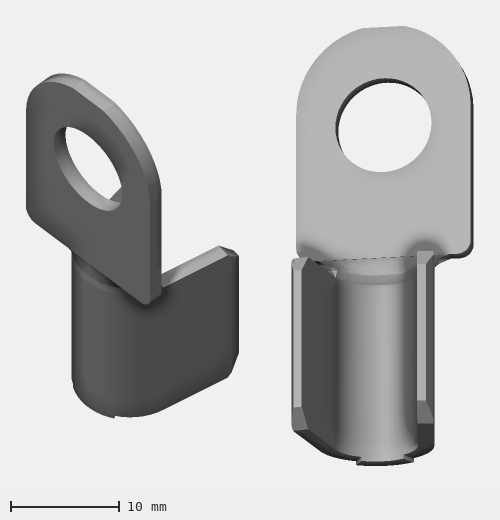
import cadquery as cq
import math


total_height = 41.55
sheet = 1.5

tongue_width = 16.3
tongue_bottom = 19.48
tongue_arc_drop = 7.9
tongue_corner_radius = 1.25
stud_hole_diameter = 8.95
stud_hole_height = 32.15

barrel_radius = 5.4
barrel_bottom = 0.37
barrel_top = 16.85
locating_tab_angle = 60.0

flare = math.radians(10)
wing_tip = 13.45
bevel_length = 1.3
tip_width = 0.85
wing_corner_cut = 1.7

neck_shoulder_height = 17.7
neck_shoulder_rise = 4.05
neck_shoulder_back = 1.85
neck_top_half_width = 6.15
neck_setback = 0.1

inner_radius = barrel_radius - sheet
barrel_height = barrel_top - barrel_bottom


def barrel_point(radius, angle):
    """Point at a radius from the barrel axis; zero angle points along +X."""
    return (radius * math.cos(angle), barrel_radius + radius * math.sin(angle))


def mirrored(point):
    return (-point[0], point[1])


def make_tongue():
    half_width = tongue_width / 2
    arc_centre = total_height - tongue_arc_drop
    arc_end_angle = math.asin(tongue_arc_drop / half_width)

    def rounded_end(angle):
        return (half_width * math.cos(angle), arc_centre + half_width * math.sin(angle))

    flat_end = rounded_end(arc_end_angle)
    arc_halfway = rounded_end(arc_end_angle / 2)
    plate = (
        cq.Workplane("XZ")
        .moveTo(-half_width, tongue_bottom)
        .lineTo(half_width, tongue_bottom)
        .lineTo(half_width, arc_centre)
        .threePointArc(arc_halfway, flat_end)
        .lineTo(*mirrored(flat_end))
        .threePointArc(mirrored(arc_halfway), (-half_width, arc_centre))
        .close()
        .extrude(-sheet)
    )
    hole = (
        cq.Workplane("XZ")
        .center(0, stud_hole_height)
        .circle(stud_hole_diameter / 2)
        .extrude(-sheet)
    )
    bottom_corners = plate.edges("|Y and <Z")
    return bottom_corners.fillet(tongue_corner_radius).cut(hole)


def make_trough():
    """Bent part of the barrel, ending where the wings start."""
    outer = barrel_point(barrel_radius, -flare)
    inner = barrel_point(inner_radius, -flare)
    return (
        cq.Workplane("XY", origin=(0, 0, barrel_bottom))
        .moveTo(*mirrored(outer))
        .threePointArc((0, 0), outer)
        .lineTo(*inner)
        .threePointArc((0, sheet), mirrored(inner))
        .close()
        .extrude(barrel_height)
    )


def make_wing():
    """Right wing, drawn upright beside the barrel axis and then flared about it."""
    length = (wing_tip - barrel_radius + inner_radius * math.sin(flare)) / math.cos(flare)
    tip = barrel_radius + length
    thickness_profile = (
        cq.Workplane("XY", origin=(0, 0, barrel_bottom))
        .moveTo(inner_radius, barrel_radius)
        .lineTo(barrel_radius, barrel_radius)
        .lineTo(barrel_radius, tip - bevel_length)
        .lineTo(inner_radius + tip_width, tip)
        .lineTo(inner_radius, tip)
        .close()
        .extrude(barrel_height)
    )
    side_outline = (
        cq.Workplane("YZ")
        .moveTo(barrel_radius, barrel_bottom)
        .lineTo(tip - wing_corner_cut, barrel_bottom)
        .lineTo(tip, barrel_bottom + wing_corner_cut)
        .lineTo(tip, barrel_top - wing_corner_cut)
        .lineTo(tip - wing_corner_cut, barrel_top)
        .lineTo(barrel_radius, barrel_top)
        .close()
        .extrude(barrel_radius)
    )
    axis_start = (0, barrel_radius, 0)
    axis_end = (0, barrel_radius, 1)
    return thickness_profile.intersect(side_outline).rotate(axis_start, axis_end, -math.degrees(flare))


def make_locating_tab():
    """Ring segment with radial sides that continues the barrel down to z = 0."""
    right = math.radians(-90 + locating_tab_angle / 2)
    outer = barrel_point(barrel_radius, right)
    inner = barrel_point(inner_radius, right)
    return (
        cq.Workplane("XY")
        .moveTo(*mirrored(outer))
        .threePointArc((0, 0), outer)
        .lineTo(*inner)
        .threePointArc((0, sheet), mirrored(inner))
        .close()
        .extrude(barrel_bottom)
    )


def arc_middle(end, floor):
    """Midpoint of the arc that leaves (0, floor) along +X and rises to an end point."""
    sweep = 2 * math.atan((end[1] - floor) / end[0])
    radius = end[0] / math.sin(sweep)
    return (radius * math.sin(sweep / 2), floor + radius * (1 - math.cos(sweep / 2)))


def half_trough_section(z, outer_end, inner_end, front, back):
    """Right half of a neck section: front and back arcs meeting the plane x = 0."""
    return (
        cq.Workplane("XY", origin=(0, 0, z))
        .moveTo(0, front)
        .threePointArc(arc_middle(outer_end, front), outer_end)
        .lineTo(*inner_end)
        .threePointArc(arc_middle(inner_end, back), (0, back))
        .close()
        .val()
    )


def make_neck():
    """Flatten the trough of the barrel into the bottom edge of the tongue."""
    outer = barrel_point(barrel_radius, -flare)
    inner = barrel_point(inner_radius, -flare)
    base = half_trough_section(barrel_top, outer, inner, 0, sheet)
    shoulder = half_trough_section(
        neck_shoulder_height,
        (outer[0], neck_shoulder_rise),
        (inner[0], neck_shoulder_rise),
        neck_setback,
        neck_shoulder_back,
    )
    top = half_trough_section(
        tongue_bottom,
        (neck_top_half_width, 2 * neck_setback),
        (neck_top_half_width, sheet),
        neck_setback,
        sheet - neck_setback,
    )
    right_half = cq.Workplane(cq.Solid.makeLoft([base, shoulder, top], True))
    return right_half.union(right_half.mirror("YZ"))


right_wing = make_wing()
left_wing = right_wing.mirror("YZ")

result = (
    make_tongue()
    .union(make_neck())
    .union(make_trough())
    .union(right_wing)
    .union(left_wing)
    .union(make_locating_tab())
)